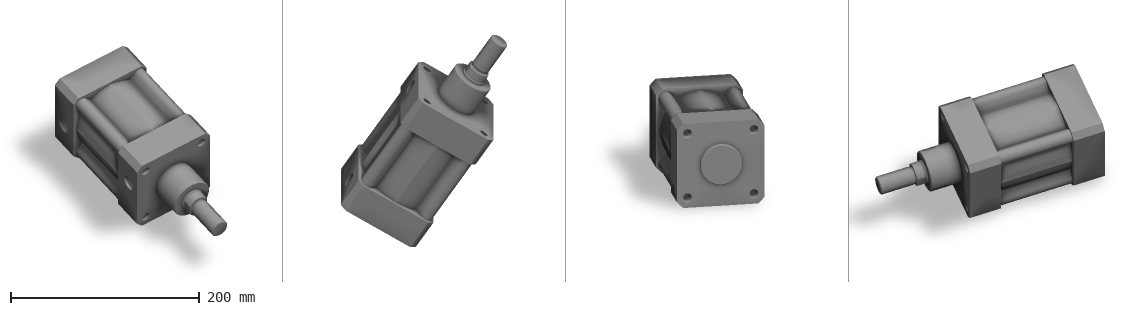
import cadquery as cq
import math


total_length = 243.0
boss_length = 4.0
head_length = 35.2
barrel_length = 82.4
gland_length = 34.0

rear_head_start = boss_length
barrel_start = rear_head_start + head_length
front_head_start = barrel_start + barrel_length
front_head_end = front_head_start + head_length
gland_end = front_head_end + gland_length

head_width = 94.0
head_chamfer = 6.5
spigot_radius = 45.0 / 2
spigot_chamfer = 0.7
port_radius = 7.5
port_chamfer = 0.7
port_depth = 12.2
port_inset = 16.0
port_offset = 9.5
screw_hole_radius = 4.4
screw_hole_chamfer = 0.7
screw_hole_depth = 14.5
screw_hole_pitch = 71.7

barrel_radius = 42.8
flat_half_height = 9.0
lobe_radius = 7.3
lobe_offset = 37.0
neck_fillet = 2.0

rod_radius = 13.1
shoulder_length = 2.5
shoulder_chamfer = 0.7
collar_radius = 12.5
collar_chamfer = 0.5
collar_end = 203.1
flats_width = 22.0
neck_radius = 9.2
thread_radius = 10.0
neck_end = 204.8
thread_start = 206.0
thread_chamfer = 1.0


def x_cylinder(x_start, length, radius):
    """Cylinder around the X axis."""
    return cq.Workplane("YZ", origin=(x_start, 0, 0)).circle(radius).extrude(length)


def countersunk_hole(radius, depth, chamfer, position, direction):
    """Cutter for a blind hole with a chamfered mouth at the given position."""
    start = cq.Vector(*position)
    inward = cq.Vector(*direction)
    bore = cq.Solid.makeCylinder(radius, depth, start, inward)
    mouth = cq.Solid.makeCone(radius + chamfer, radius, chamfer, start, inward)
    return bore.fuse(mouth)


def make_head(x_start, outer_x, inward, port_z):
    """Square head with chamfered corners, four screw holes in its outer face and a side port.

    inward is +1 or -1, the X direction from the outer face into the head.
    """
    head = (
        cq.Workplane("YZ", origin=(x_start, 0, 0))
        .rect(head_width, head_width)
        .extrude(head_length)
        .edges("|X")
        .chamfer(head_chamfer)
    )
    half_pitch = screw_hole_pitch / 2
    for y in (-half_pitch, half_pitch):
        for z in (-half_pitch, half_pitch):
            head = head.cut(cq.Workplane(countersunk_hole(
                screw_hole_radius, screw_hole_depth, screw_hole_chamfer, (outer_x, y, z), (inward, 0, 0)
            )))
    port_position = (outer_x + inward * port_inset, -head_width / 2, port_z)
    port = countersunk_hole(port_radius, port_depth, port_chamfer, port_position, (0, 1, 0))
    return head.cut(cq.Workplane(port))


def make_rear_head():
    boss = x_cylinder(0, boss_length, spigot_radius).faces("<X").chamfer(spigot_chamfer)
    return make_head(rear_head_start, rear_head_start, 1, -port_offset).union(boss)


def make_front_head():
    gland = x_cylinder(front_head_end, gland_length, spigot_radius).faces(">X").chamfer(spigot_chamfer)
    rod_bore = x_cylinder(front_head_start, head_length + gland_length, rod_radius)
    return make_head(front_head_start, front_head_end, -1, port_offset).union(gland).cut(rod_bore)


def make_barrel():
    """Round tube profile with a shallow ridge on each side and a lobe on each diagonal."""
    barrel = x_cylinder(barrel_start, barrel_length, barrel_radius)

    flat_y = math.sqrt(barrel_radius**2 - flat_half_height**2)
    ridge_y = barrel_radius**2 / flat_y
    ridge = (
        cq.Workplane("YZ", origin=(barrel_start, 0, 0))
        .polyline([(0, 0), (flat_y, -flat_half_height), (ridge_y, 0), (flat_y, flat_half_height)])
        .close()
        .extrude(barrel_length)
    )

    lobe_distance = math.hypot(lobe_offset, lobe_offset)
    fillet_side = lobe_radius + neck_fillet
    fillet_distance = math.sqrt((barrel_radius + neck_fillet)**2 - fillet_side**2)
    wall_ratio = barrel_radius / (barrel_radius + neck_fillet)
    wall_distance = fillet_distance * wall_ratio
    wall_side = fillet_side * wall_ratio
    mid_angle = (math.atan2(fillet_side, fillet_distance) + math.pi + 1.5 * math.pi) / 2
    mid_distance = fillet_distance + neck_fillet * math.cos(mid_angle)
    mid_side = fillet_side + neck_fillet * math.sin(mid_angle)
    lobe = (
        cq.Workplane("YZ", origin=(barrel_start, 0, 0))
        .moveTo(0, 0)
        .lineTo(wall_distance, -wall_side)
        .threePointArc((mid_distance, -mid_side), (fillet_distance, -lobe_radius))
        .lineTo(lobe_distance, -lobe_radius)
        .threePointArc((lobe_distance + lobe_radius, 0), (lobe_distance, lobe_radius))
        .lineTo(fillet_distance, lobe_radius)
        .threePointArc((mid_distance, mid_side), (wall_distance, wall_side))
        .close()
        .extrude(barrel_length)
    )

    x_axis = ((0, 0, 0), (1, 0, 0))
    for quarter in range(4):
        barrel = barrel.union(ridge.rotate(*x_axis, 90 * quarter))
        barrel = barrel.union(lobe.rotate(*x_axis, 90 * quarter + 45))
    return barrel


def make_rod():
    """Turned rod with wrench flats behind an undercut and a threaded end."""
    shoulder_end = gland_end + shoulder_length
    rod = (
        cq.Workplane("XY")
        .moveTo(front_head_start, 0)
        .lineTo(front_head_start, rod_radius)
        .lineTo(shoulder_end - shoulder_chamfer, rod_radius)
        .lineTo(shoulder_end, collar_radius)
        .lineTo(collar_end - collar_chamfer, collar_radius)
        .lineTo(collar_end, collar_radius - collar_chamfer)
        .lineTo(collar_end, neck_radius)
        .lineTo(neck_end, neck_radius)
        .lineTo(thread_start, thread_radius)
        .lineTo(total_length - thread_chamfer, thread_radius)
        .lineTo(total_length, thread_radius - thread_chamfer)
        .lineTo(total_length, 0)
        .close()
        .revolve(360, (0, 0, 0), (1, 0, 0))
    )
    flats_length = collar_end - shoulder_end
    flat_depth = rod_radius - flats_width / 2
    for side in (-1, 1):
        flat_cutter = cq.Workplane("XY").box(flats_length, flat_depth, 2 * rod_radius).translate(
            (shoulder_end + flats_length / 2, side * (flats_width + flat_depth) / 2, 0)
        )
        rod = rod.cut(flat_cutter)
    return rod


rear_head = make_rear_head()
barrel = make_barrel()
front_head = make_front_head()
rod = make_rod()

result = cq.Compound.makeCompound([rear_head.val(), barrel.val(), front_head.val(), rod.val()])